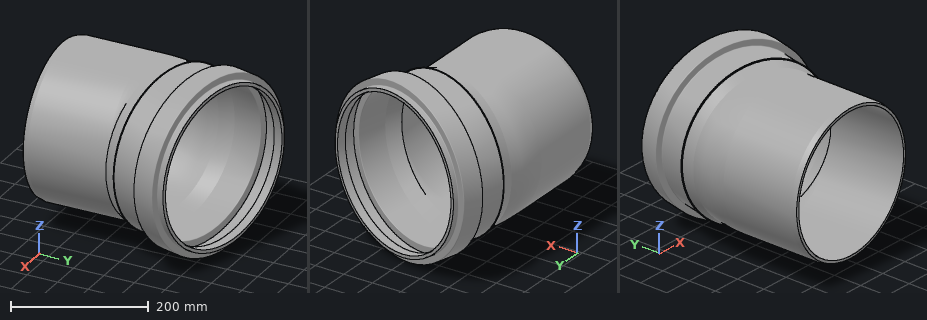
import cadquery as cq
import math


pipe_outer_radius = 250.5 / 2
pipe_inner_radius = 236.3 / 2
spigot_length = 136.7
spigot_chamfer_length = 9.0
spigot_chamfer_angle = 15.0

bend_angle = 15.0
bend_throat_gap = 0.75
bend_radius = pipe_outer_radius + bend_throat_gap

socket_wall = 5.5
socket_outer_radius = 262.1 / 2
lip_outer_radius = 261.8 / 2
bead_outer_radius = 285.5 / 2
rim_outer_radius = 264.8 / 2
socket_inner_radius = socket_outer_radius - socket_wall
lip_inner_radius = lip_outer_radius - socket_wall
groove_radius = bead_outer_radius - socket_wall

cone_length = 19.8
rim_flare_length = 1.7
rim_end = cone_length + rim_flare_length
socket_bore_start = 25.0
bead_start = 70.8
bead_width = 36.6
lip_length = 10.4
bead_end = bead_start + bead_width
socket_length = bead_end + lip_length

bead_fillet_radius = 1.2

edge_tolerance = 0.05


def revolved_about_y(profile):
    """Solid of revolution about the Y axis from (radius, station) points."""
    return cq.Workplane("XY").polyline(profile).close().revolve(360, (0, 0, 0), (0, 1, 0))


def fillet_rings(body, rings, fillet_radius):
    """Round the circular edges about the Y axis given as (radius, station) pairs."""
    edges = []
    for radius, station in rings:
        corner = cq.selectors.BoxSelector(
            (-2 * radius, station - edge_tolerance, -2 * radius),
            (2 * radius, station + edge_tolerance, 2 * radius),
            boundingbox=True,
        )
        for edge in body.edges(corner).edges("%CIRCLE").vals():
            if abs(edge.radius() - radius) < edge_tolerance:
                edges.append(edge)
    return body.newObject(edges).fillet(fillet_radius)


def make_spigot():
    chamfer_depth = spigot_chamfer_length * math.tan(math.radians(spigot_chamfer_angle))
    return revolved_about_y([
        (pipe_inner_radius, 0),
        (pipe_outer_radius - chamfer_depth, 0),
        (pipe_outer_radius, spigot_chamfer_length),
        (pipe_outer_radius, spigot_length),
        (pipe_inner_radius, spigot_length),
    ])


def make_elbow():
    """Annular pipe section swept about a Z-parallel axis on the +X side."""
    return (
        cq.Workplane("XZ", origin=(0, spigot_length, 0))
        .circle(pipe_outer_radius)
        .circle(pipe_inner_radius)
        .revolve(bend_angle, (bend_radius, 1, 0), (bend_radius, 0, 0))
    )


def make_socket():
    """Socket on the Y axis, then tilted about the elbow pivot."""
    socket = revolved_about_y([
        (pipe_outer_radius, 0),
        (socket_outer_radius, cone_length),
        (rim_outer_radius, rim_end),
        (socket_outer_radius, rim_end),
        (socket_outer_radius, bead_start),
        (bead_outer_radius, bead_start),
        (bead_outer_radius, bead_end),
        (lip_outer_radius, bead_end),
        (lip_outer_radius, socket_length),
        (lip_inner_radius, socket_length),
        (lip_inner_radius, bead_end - socket_wall),
        (groove_radius, bead_end - socket_wall),
        (groove_radius, bead_start + socket_wall),
        (socket_inner_radius, bead_start + socket_wall),
        (socket_inner_radius, socket_bore_start),
        (pipe_inner_radius, 0),
    ])
    bead_corners = [
        (socket_outer_radius, bead_start),
        (bead_outer_radius, bead_start),
        (bead_outer_radius, bead_end),
        (lip_outer_radius, bead_end),
        (lip_inner_radius, bead_end - socket_wall),
        (socket_inner_radius, bead_start + socket_wall),
    ]
    socket = fillet_rings(socket, bead_corners, bead_fillet_radius)
    pivot_bottom = (bend_radius, spigot_length, 0)
    pivot_top = (bend_radius, spigot_length, 1)
    return socket.translate((0, spigot_length, 0)).rotate(pivot_bottom, pivot_top, -bend_angle)


result = make_spigot().union(make_elbow()).union(make_socket())